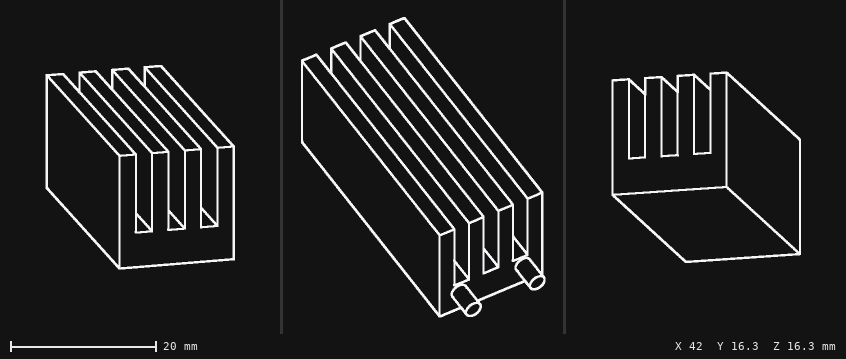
import cadquery as cq

overall_length = 42.05
body_width = 16.28
body_height = 16.28

pin_length = 3.95
body_length = overall_length - pin_length
base_height = 5.0
fin_count = 4
gap_count = fin_count - 1
fin_width = body_width / (fin_count + gap_count)
fin_pitch = 2 * fin_width

pin_diameter = 2.35
pin_spacing = 10.15
pin_center_height = 3.45


def make_base():
    return cq.Workplane("XY").box(
        body_length, body_width, base_height, centered=(False, True, False)
    )


def make_fin(center_y):
    return (
        cq.Workplane("XY")
        .box(body_length, fin_width, body_height, centered=(False, True, False))
        .translate((0, center_y, 0))
    )


def make_pin(center_y):
    return (
        cq.Workplane("YZ")
        .center(center_y, pin_center_height)
        .circle(pin_diameter / 2)
        .extrude(-pin_length)
    )


result = make_base()

first_fin_y = (fin_width - body_width) / 2
for index in range(fin_count):
    result = result.union(make_fin(first_fin_y + index * fin_pitch))

for side in (-1, 1):
    result = result.union(make_pin(side * pin_spacing / 2))

result = result.clean()